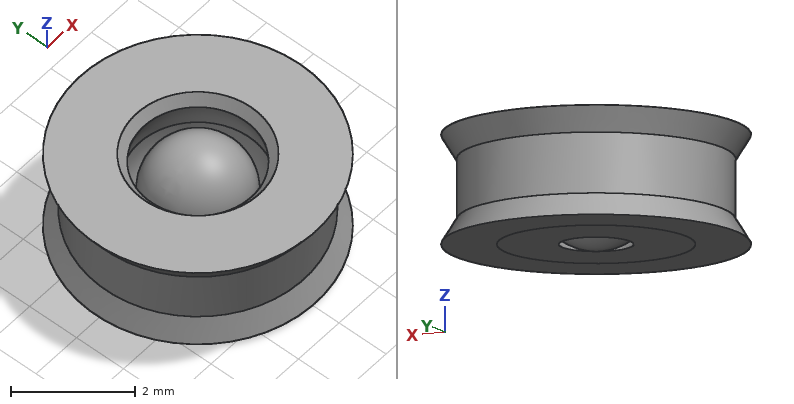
import cadquery as cq

rim_radius = 2.5
drum_radius = 2.25
half_height = 0.9
drum_half_height = 0.5
ball_radius = 1.0
cavity_radius = 1.25
mouth_radius = 1.3
throat_radius = 1.14
seat_radius = 1.6
seat_top = 0.195

throat_height = seat_top + (cavity_radius**2 - throat_radius**2) ** 0.5
seat_height = seat_top + half_height


def revolve_profile(points):
    """Turn a closed (radius, height) outline around the Z axis."""
    return cq.Workplane("XZ").polyline(points).close().revolve(360, (0, 0), (0, 1))


def make_cavity():
    """Spherical space centred on the joint plane, running out through the bottom face."""
    return cq.Workplane("XY").sphere(cavity_radius).translate((0, 0, seat_top))


def make_seat_blank():
    """Solid cylinder from the bottom face up to the joint with the roller."""
    return cq.Workplane("XY").workplane(offset=-half_height).circle(seat_radius).extrude(seat_height)


def make_mouth():
    """Conical lead-in from the top face down to the cavity."""
    return revolve_profile([
        (0, throat_height),
        (throat_radius, throat_height),
        (mouth_radius, half_height),
        (0, half_height),
    ])


def make_roller():
    """Drum with two flared rims, hollowed for the ball and recessed for the seat."""
    blank = revolve_profile([
        (0, -half_height),
        (rim_radius, -half_height),
        (drum_radius, -drum_half_height),
        (drum_radius, drum_half_height),
        (rim_radius, half_height),
        (0, half_height),
    ])
    return blank.cut(make_seat_blank()).cut(make_cavity()).cut(make_mouth())


def make_seat():
    """Ring that forms the lower part of the cavity."""
    return make_seat_blank().cut(make_cavity())


def make_ball():
    return cq.Workplane("XY").sphere(ball_radius).rotate((0, 0, 0), (0, 0, 1), 180)


roller = make_roller()
seat = make_seat()
ball = make_ball()

result = cq.Compound.makeCompound([roller.val(), seat.val(), ball.val()])